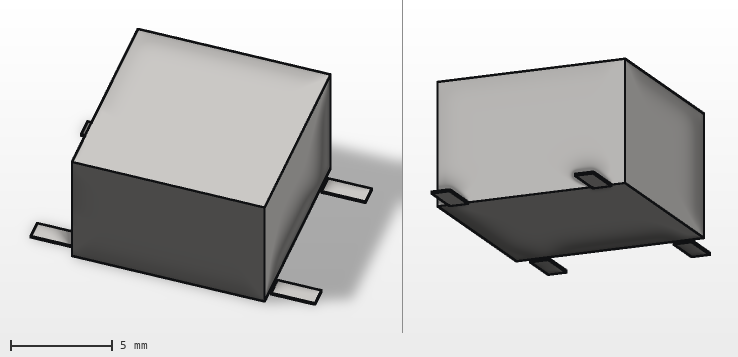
import cadquery as cq

housing_side = 10.0
housing_height = 6.39

lead_span = 14.76
lead_length = 2.29
lead_width = 0.97
lead_thickness = 0.1
lead_pitch = 7.65
lead_center_x = (lead_span - lead_length) / 2


def make_housing():
    """Plain square block with its underside at Z = 0."""
    return cq.Workplane("XY").box(
        housing_side, housing_side, housing_height, centered=(True, True, False)
    )


def make_lead(x_side, y_side):
    """One flat lead whose top face is level with the housing underside."""
    lead = cq.Workplane("XY").box(lead_length, lead_width, lead_thickness, centered=(True, True, False))
    return lead.translate((x_side * lead_center_x, y_side * lead_pitch / 2, -lead_thickness))


housing = make_housing()

leads = []
for x_side in (-1, 1):
    for y_side in (-1, 1):
        leads.append(make_lead(x_side, y_side).val())

result = cq.Compound.makeCompound([housing.val(), *leads])